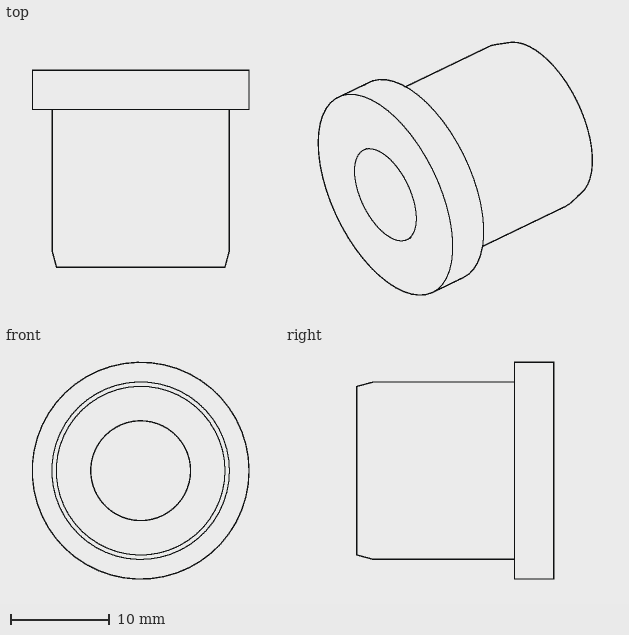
import cadquery as cq
import math

flange_diameter = 22.0
flange_thickness = 4.0
body_diameter = 18.0
total_length = 20.0
bore_diameter = 10.1

taper_length = 1.67
taper_angle = 15.0

flange_radius = flange_diameter / 2
body_radius = body_diameter / 2
bore_radius = bore_diameter / 2
tip_radius = body_radius - taper_length * math.tan(math.radians(taper_angle))
flange_start = total_length - flange_thickness

half_section = (
    cq.Workplane("XY")
    .moveTo(bore_radius, 0)
    .lineTo(tip_radius, 0)
    .lineTo(body_radius, taper_length)
    .lineTo(body_radius, flange_start)
    .lineTo(flange_radius, flange_start)
    .lineTo(flange_radius, total_length)
    .lineTo(bore_radius, total_length)
    .close()
)

result = half_section.revolve(360, (0, 0), (0, 1))